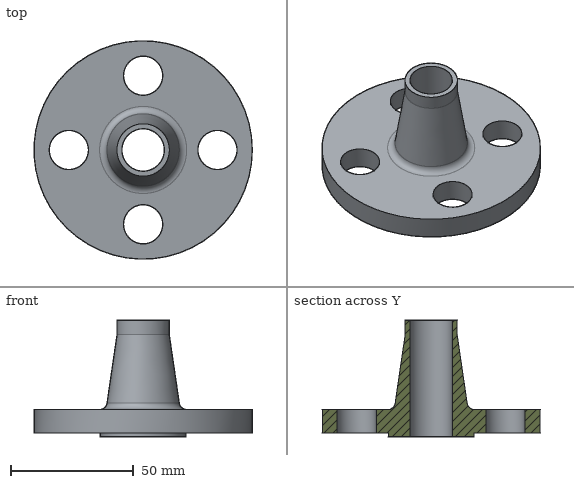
import cadquery as cq

flange_diameter = 88.9
flange_thickness = 9.6
face_diameter = 35.0
face_height = 1.6

overall_height = 47.55
hub_base_diameter = 30.2
neck_diameter = 21.3
neck_length = 5.95
hub_fillet_radius = 3.0

bore_diameter = 17.15
bolt_circle_diameter = 60.4
bolt_hole_diameter = 15.8
bolt_count = 4

flange_top = face_height + flange_thickness
neck_bottom = overall_height - neck_length


def make_body():
    """Solid of revolution: raised face, flange plate, tapered hub and pipe neck."""
    profile = [
        (0, 0),
        (face_diameter / 2, 0),
        (face_diameter / 2, face_height),
        (flange_diameter / 2, face_height),
        (flange_diameter / 2, flange_top),
        (hub_base_diameter / 2, flange_top),
        (neck_diameter / 2, neck_bottom),
        (neck_diameter / 2, overall_height),
        (0, overall_height),
    ]
    return cq.Workplane("XZ").polyline(profile).close().revolve(360, (0, 0), (0, 1))


def blend_hub_root(body):
    """Fillet the corner where the tapered hub meets the flange top."""
    flange_top_edges = body.faces("|Z").faces(">Z[-2]").edges()
    root_edge = flange_top_edges.edges(cq.selectors.RadiusNthSelector(0))
    return root_edge.fillet(hub_fillet_radius)


def cut_bore(body):
    """Bore straight through the whole part."""
    return body.cut(cq.Workplane("XY").circle(bore_diameter / 2).extrude(overall_height))


def cut_bolt_holes(body):
    """Plain holes through the flange plate, spaced evenly from the X axis."""
    holes = (
        cq.Workplane("XY")
        .polarArray(bolt_circle_diameter / 2, 0, 360, bolt_count)
        .circle(bolt_hole_diameter / 2)
        .extrude(flange_top)
    )
    return body.cut(holes)


result = cut_bolt_holes(cut_bore(blend_hub_root(make_body())))